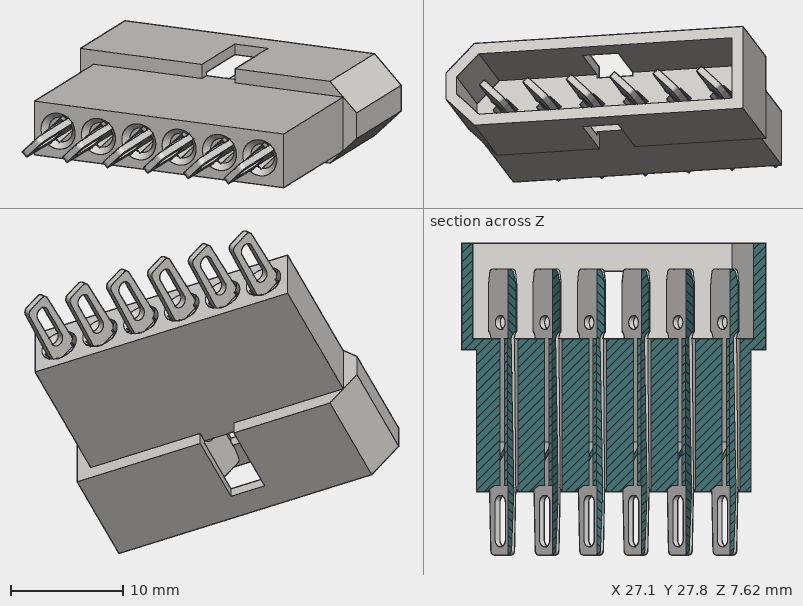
import cadquery as cq

CONTACT_COUNT = 6
ROW_SPAN = 19.8
PITCH = ROW_SPAN / (CONTACT_COUNT - 1)
CONTACT_ROLL = -45

BODY_WIDTH = 24.48
BODY_HEIGHT = 5
BODY_LENGTH = 12.65
HOOD_WIDTH = 27.12
HOOD_HEIGHT = 7.62
HOOD_LENGTH = 9.51
HOOD_WALL = 1.0
HOOD_CHAMFER = 2.62
WINDOW_WIDTH = 3.25
WINDOW_LENGTH = 7.0

HOOD_END = BODY_LENGTH + HOOD_LENGTH
CAVITY_FLOOR = BODY_LENGTH + HOOD_WALL

BLADE_THICKNESS = 0.6
LUG_LENGTH = 5.65
LUG_ROOT_WIDTH = 2.7
LUG_TIP_WIDTH = 2.4
LUG_TIP_RADIUS = 0.47
EYE_WIDTH = 1.28
EYE_LENGTH = 4.6
EYE_TIP_MARGIN = 0.75
SHANK_END_WIDTH = 2.36
TAB_WIDTH = 2.95
TAB_TIP_WIDTH = 2.55
TAB_SHOULDER_LENGTH = 0.67
TAB_TIP_RADIUS = 0.33
TAB_START = CAVITY_FLOOR + TAB_SHOULDER_LENGTH
TAB_RECESS = 2.3
TAB_END = HOOD_END - TAB_RECESS
TAB_TAPER_LENGTH = 1.3
TAB_HOLE_DIAMETER = 1.22
TAB_HOLE_OFFSET = 1.45
TAB_HOLE_Y = CAVITY_FLOOR + TAB_HOLE_OFFSET

FUNNEL_MOUTH_DIAMETER = 3.35
FUNNEL_FLOOR_DIAMETER = 2.28
FUNNEL_DEPTH = 0.55
SLOT_WIDTH = 3.35
CHANNEL_DEPTH = 0.78
OPEN_CHANNEL_WIDTH = 1.9
LANCE_CHANNEL_WIDTH = 1.45
RELIEF_WIDTH = 2.55

LANCE_TIP_Y = 2.78
LANCE_ROOT_Y = 3.9
LANCE_ROOT_LENGTH = 0.55


def box_along_y(width, height, start, end):
    """Box centred on the Y axis, from Y = start to Y = end."""
    middle = (start + end) / 2
    return cq.Workplane("XY").box(width, end - start, height).translate((0, middle, 0))


def place_contact_shape(shape, index):
    """Roll a shape modelled around the Y axis and move it to its place in the row."""
    x = (index - (CONTACT_COUNT - 1) / 2) * PITCH
    return shape.rotate((0, 0, 0), (0, 1, 0), CONTACT_ROLL).translate((x, 0, 0))


def make_hood():
    """Open-backed shell with two chamfered edges on +X and a window above and below."""
    right = HOOD_WIDTH / 2
    top = HOOD_HEIGHT / 2
    outline = (
        cq.Workplane("XZ", origin=(0, BODY_LENGTH, 0))
        .moveTo(-right, -top)
        .lineTo(right - HOOD_CHAMFER, -top)
        .lineTo(right, HOOD_CHAMFER - top)
        .lineTo(right, top - HOOD_CHAMFER)
        .lineTo(right - HOOD_CHAMFER, top)
        .lineTo(-right, top)
        .close()
    )
    hood = outline.extrude(-HOOD_LENGTH)
    hood = hood.faces(">Y").shell(-HOOD_WALL)
    window = box_along_y(WINDOW_WIDTH, HOOD_HEIGHT, BODY_LENGTH, BODY_LENGTH + WINDOW_LENGTH)
    return hood.cut(window)


def make_passage():
    """Void for one contact: funnel, blade slot, open channel, lance channel and its relief."""
    funnel = (
        cq.Workplane("XZ")
        .circle(FUNNEL_MOUTH_DIAMETER / 2)
        .workplane(offset=-FUNNEL_DEPTH)
        .circle(FUNNEL_FLOOR_DIAMETER / 2)
        .loft(ruled=True)
    )
    slot = box_along_y(SLOT_WIDTH, BLADE_THICKNESS, 0, CAVITY_FLOOR)
    open_channel = box_along_y(OPEN_CHANNEL_WIDTH, CHANNEL_DEPTH, 0, CAVITY_FLOOR)
    lance_channel = box_along_y(LANCE_CHANNEL_WIDTH, CHANNEL_DEPTH, 0, CAVITY_FLOOR)
    relief = box_along_y(RELIEF_WIDTH, CHANNEL_DEPTH, 0, FUNNEL_DEPTH)
    lance_side = (0, 0, CHANNEL_DEPTH / 2)
    open_side = (0, 0, -CHANNEL_DEPTH / 2)
    passage = funnel.union(slot).union(open_channel.translate(open_side))
    return passage.union(lance_channel.translate(lance_side)).union(relief.translate(lance_side))


def make_housing():
    body = box_along_y(BODY_WIDTH, BODY_HEIGHT, 0, CAVITY_FLOOR)
    housing = make_hood().union(body)
    passage = make_passage()
    for index in range(CONTACT_COUNT):
        housing = housing.cut(place_contact_shape(passage, index))
    return housing


def make_blade():
    """Flat blade outline: tapered lug, narrowing shank, hollow-shouldered tab with a tapered tip."""
    lug_root = LUG_ROOT_WIDTH / 2
    lug_tip = LUG_TIP_WIDTH / 2
    shank = SHANK_END_WIDTH / 2
    tab = TAB_WIDTH / 2
    tab_tip = TAB_TIP_WIDTH / 2
    shoulder_step = tab - shank
    shoulder_radius = (shoulder_step**2 + TAB_SHOULDER_LENGTH**2) / (2 * shoulder_step)
    taper_start = TAB_END - TAB_TAPER_LENGTH
    blade = (
        cq.Workplane("XY", origin=(0, 0, -BLADE_THICKNESS / 2))
        .moveTo(-lug_tip, -LUG_LENGTH)
        .lineTo(lug_tip, -LUG_LENGTH)
        .lineTo(lug_root, 0)
        .lineTo(shank, CAVITY_FLOOR)
        .radiusArc((tab, TAB_START), shoulder_radius)
        .lineTo(tab, taper_start)
        .lineTo(tab_tip, TAB_END)
        .lineTo(-tab_tip, TAB_END)
        .lineTo(-tab, taper_start)
        .lineTo(-tab, TAB_START)
        .radiusArc((-shank, CAVITY_FLOOR), shoulder_radius)
        .lineTo(-lug_root, 0)
        .close()
        .extrude(BLADE_THICKNESS)
    )
    blade = blade.faces("<Y").edges("|Z").fillet(LUG_TIP_RADIUS)
    return blade.faces(">Y").edges("|Z").fillet(TAB_TIP_RADIUS)


def make_lance():
    """Wedge leaning forward from the blade to the channel wall."""
    blade_face = BLADE_THICKNESS / 2
    return (
        cq.Workplane("YZ", origin=(-LANCE_CHANNEL_WIDTH / 2, 0, 0))
        .moveTo(LANCE_ROOT_Y, blade_face)
        .lineTo(LANCE_TIP_Y, CHANNEL_DEPTH)
        .lineTo(LANCE_TIP_Y + LANCE_ROOT_LENGTH, CHANNEL_DEPTH)
        .lineTo(LANCE_ROOT_Y + LANCE_ROOT_LENGTH, blade_face)
        .close()
        .extrude(LANCE_CHANNEL_WIDTH)
    )


def make_contact():
    eye_y = -LUG_LENGTH + EYE_TIP_MARGIN + EYE_LENGTH / 2
    eye = cq.Workplane("XY").center(0, eye_y).slot2D(EYE_LENGTH, EYE_WIDTH, 90)
    tab_hole = cq.Workplane("XY").center(0, TAB_HOLE_Y).circle(TAB_HOLE_DIAMETER / 2)
    contact = make_blade().cut(eye.extrude(BLADE_THICKNESS, both=True))
    contact = contact.cut(tab_hole.extrude(BLADE_THICKNESS, both=True))
    return contact.union(make_lance())


housing = make_housing()
contact = make_contact()
contacts = [place_contact_shape(contact, index) for index in range(CONTACT_COUNT)]

result = cq.Compound.makeCompound([housing.val(), *[item.val() for item in contacts]])